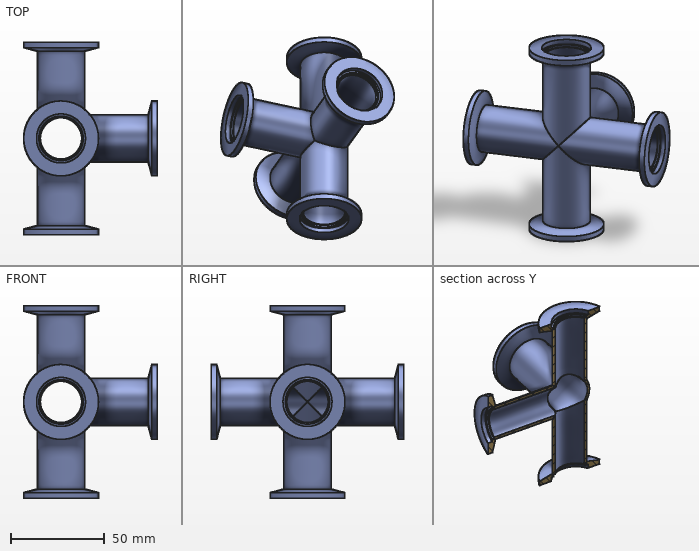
import cadquery as cq
import math


reach = 51.4

tube_diameter = 25.4
bore_diameter = 22.0

flange_diameter = 40.0
rim_thickness = 3.0
cone_angle = 15.0
recess_diameter = 26.2
recess_depth = 2.6
lip_diameter = 23.75
lip_thickness = 1.2
hub_diameter = 25.6

tube_radius = tube_diameter / 2
bore_radius = bore_diameter / 2
flange_radius = flange_diameter / 2
hub_radius = hub_diameter / 2
recess_radius = recess_diameter / 2
lip_radius = lip_diameter / 2

rim_back = reach - rim_thickness
cone_length = (flange_radius - hub_radius) * math.tan(math.radians(cone_angle))
flange_back = rim_back - cone_length
recess_floor = reach - recess_depth
tube_end = recess_floor - lip_thickness

run_angles = [0, 90, 180, 270]
branch_angle = 90


def mitre_prism(plane_name, neighbour_on_both_sides):
    """Space kept by a +Z arm between the 45-degree mitre lines it shares with its neighbours.

    With a neighbour on the positive side only, the single mitre line runs straight through.
    """
    apex_corner = (0, 0) if neighbour_on_both_sides else (-reach, -reach)
    corners = [apex_corner, (reach, reach), (-reach, reach)]
    return cq.Workplane(plane_name).polyline(corners).close().extrude(reach, both=True)


def make_tube(is_branch):
    """Tube along +Z, its inner end mitred to the arms along Y and X."""
    start = cq.Workplane("XY").workplane(offset=-tube_radius)
    length = tube_radius + tube_end
    rod = start.circle(tube_radius).extrude(length)
    rod = rod.intersect(mitre_prism("YZ", True))
    rod = rod.intersect(mitre_prism("XZ", is_branch))
    bore = start.circle(bore_radius).extrude(length)
    return rod.cut(bore).solids()


def make_flange():
    """Flange along +Z, revolved from its half section."""
    section = [
        (recess_radius, reach),
        (flange_radius, reach),
        (flange_radius, rim_back),
        (hub_radius, flange_back),
        (tube_radius, flange_back),
        (tube_radius, tube_end),
        (lip_radius, tube_end),
        (lip_radius, recess_floor),
        (recess_radius, recess_floor),
    ]
    return cq.Workplane("XZ").polyline(section).close().revolve(360, (0, 0, 0), (0, 1, 0))


def to_run(body, angle):
    return body.rotate((0, 0, 0), (1, 0, 0), angle)


def to_branch(body):
    return body.rotate((0, 0, 0), (0, 1, 0), branch_angle)


run_tube = make_tube(False)
branch_tube = make_tube(True)
flange = make_flange()

tubes = [to_run(run_tube, angle) for angle in run_angles] + [to_branch(branch_tube)]
flanges = [to_run(flange, angle) for angle in run_angles] + [to_branch(flange)]

result = cq.Compound.makeCompound([body.val() for body in tubes + flanges])